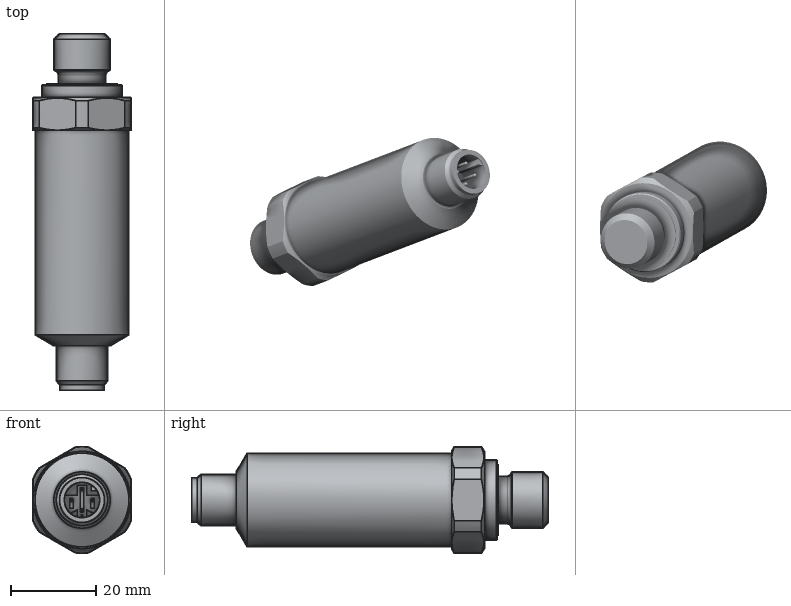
import cadquery as cq
import math


length = 83.5
plug_rim = -length / 2
port_end = length / 2
plug_chamfer_start = -40.4
plug_chamfer_end = -39.5
cone_front = -31.3
cone_back = -28.7
hex_front = 19.1
hex_back = 26.8
collar_chamfer_start = 29.6
collar_back = 29.8
seal_face = 30.1
thread_shoulder = 33.1
thread_start = 33.3

rim_dia = 10.5
plug_dia = 12.0
cone_small_dia = 13.2
body_dia = 22.0
collar_dia = 18.8
collar_back_dia = 18.3
seal_dia = 16.5
undercut_dia = 11.2
thread_shoulder_dia = 12.7
thread_dia = 13.2
thread_end_dia = 10.5
thread_chamfer = (thread_dia - thread_end_dia) / 2
undercut_radius = 1.0

hex_flats = 23.0
hex_corner_dia = 25.0
hex_front_dia = 22.8
hex_front_chamfer = 0.6
hex_back_dia = 22.55
hex_back_chamfer = 0.75

socket_dia = 8.3
socket_depth = 8.35
floor = plug_rim + socket_depth
recess_depth = 0.8
key_corner = 2.2
key_setback = 0.3
web_width = 2.25
web_half_width = web_width / 2
web_top = 3.4
upper_recess_bottom = web_half_width
lower_recess_top = -2.3
lower_recess_angle = 27
vent_dia = 0.4
vent_z = -3.7

pin_dia = 0.8
pin_tip_dia = 0.4
pin_tip_setback = 1.8
pin_circle_radius = 2.5
strip_height = 0.4
side_strip_end = -1.9


def revolve_profile(stations):
    """Solid of revolution about Y from (diameter, y) pairs."""
    outline = [(dia / 2, y) for dia, y in stations]
    outline = [(0, stations[0][1])] + outline + [(0, stations[-1][1])]
    return cq.Workplane("XY").polyline(outline).close().revolve(360, (0, 0, 0), (0, 1, 0))


def plane_at(y):
    """Workplane facing -Y, with local x along X and local y along Z."""
    return cq.Workplane("XZ", origin=(0, y, 0))


def make_undercut_root():
    """Concave ring from the thread shoulder down to the undercut cylinder, tangent to the cylinder."""
    r_in = undercut_dia / 2
    r_out = thread_shoulder_dia / 2
    arc_center = r_in + undercut_radius
    sweep = math.acos((arc_center - r_out) / undercut_radius)
    tangent_y = thread_shoulder - undercut_radius * math.sin(sweep)
    mid_r = arc_center - undercut_radius * math.cos(sweep / 2)
    mid_y = tangent_y + undercut_radius * math.sin(sweep / 2)
    return (
        cq.Workplane("XY")
        .moveTo(r_in, tangent_y)
        .threePointArc((mid_r, mid_y), (r_out, thread_shoulder))
        .lineTo(0, thread_shoulder)
        .lineTo(0, tangent_y)
        .close()
        .revolve(360, (0, 0, 0), (0, 1, 0))
    )


def make_body():
    turned = revolve_profile([
        (rim_dia, plug_rim),
        (rim_dia, plug_chamfer_start),
        (plug_dia, plug_chamfer_end),
        (plug_dia, cone_front),
        (cone_small_dia, cone_front),
        (body_dia, cone_back),
        (body_dia, hex_front),
        (collar_dia, hex_front),
        (collar_dia, collar_chamfer_start),
        (collar_back_dia, collar_back),
        (seal_dia, collar_back),
        (seal_dia, seal_face),
        (undercut_dia, seal_face),
        (undercut_dia, thread_shoulder),
        (thread_shoulder_dia, thread_shoulder),
        (thread_dia, thread_start),
        (thread_dia, port_end - thread_chamfer),
        (thread_end_dia, port_end),
    ])
    return turned.union(make_undercut_root())


def make_hexagon():
    across_corners = hex_flats / math.cos(math.radians(30))
    prism = (
        plane_at(hex_front)
        .transformed(rotate=(0, 0, 30))
        .polygon(6, across_corners)
        .extrude(hex_front - hex_back)
    )
    turned = revolve_profile([
        (hex_front_dia, hex_front),
        (hex_corner_dia, hex_front + hex_front_chamfer),
        (hex_corner_dia, hex_back - hex_back_chamfer),
        (hex_back_dia, hex_back),
    ])
    return prism.intersect(turned)


def socket_disc(y_front, y_back):
    """Disc filling the socket bore between two stations."""
    return plane_at(y_front).circle(socket_dia / 2).extrude(y_front - y_back)


def make_floor_recesses():
    """Lower areas of the insert: one above the web, two wedges below it and a small vent."""
    reach = socket_dia
    depth = -recess_depth
    upper = plane_at(floor).polyline([
        (-reach, upper_recess_bottom),
        (-web_half_width, upper_recess_bottom),
        (-web_half_width, web_top),
        (web_half_width, web_top),
        (web_half_width, upper_recess_bottom),
        (reach, upper_recess_bottom),
        (reach, reach),
        (-reach, reach),
    ]).close().extrude(depth)
    drop = (reach - web_half_width) * math.tan(math.radians(lower_recess_angle))
    recesses = upper
    for side in (-1, 1):
        wedge = plane_at(floor).polyline([
            (side * web_half_width, lower_recess_top),
            (side * reach, lower_recess_top - drop),
            (side * reach, -reach),
            (side * web_half_width, -reach),
        ]).close().extrude(depth)
        recesses = recesses.union(wedge)
    recesses = recesses.intersect(socket_disc(floor, floor + recess_depth))
    vent = plane_at(floor).center(0, vent_z).circle(vent_dia / 2).extrude(depth)
    return recesses.union(vent)


def make_key():
    """Coding key along the socket wall, in the +X +Z quarter."""
    key_front = plug_rim + key_setback
    key_back = floor + recess_depth
    block = (
        plane_at(key_front)
        .moveTo(key_corner, key_corner)
        .rect(socket_dia, socket_dia, centered=False)
        .extrude(key_front - key_back)
    )
    mid_wall_radius = (rim_dia + socket_dia) / 4
    bore_limit = plane_at(key_front).circle(mid_wall_radius).extrude(key_front - key_back)
    return block.intersect(bore_limit)


def make_pin(x, z):
    tip = plug_rim + pin_tip_setback
    tip_chamfer = (pin_dia - pin_tip_dia) / 2
    pin = revolve_profile([
        (pin_tip_dia, tip),
        (pin_dia, tip + tip_chamfer),
        (pin_dia, floor + recess_depth),
    ])
    return pin.translate((x, 0, z))


def make_strip(x, z_low, z_high):
    """Flat contact strip standing up from the socket floor."""
    return (
        plane_at(floor)
        .center(x, (z_low + z_high) / 2)
        .rect(pin_dia, z_high - z_low)
        .extrude(strip_height)
    )


def make_contacts():
    """Four pins, a strip joining the upper and lower pins, and a strip below each side pin."""
    r = pin_circle_radius
    contacts = make_strip(0, -r, r)
    for side in (-r, r):
        contacts = contacts.union(make_strip(side, side_strip_end, 0))
    for x, z in ((r, 0), (0, r), (-r, 0), (0, -r)):
        contacts = contacts.union(make_pin(x, z))
    return contacts


result = make_body().union(make_hexagon())
result = result.cut(socket_disc(plug_rim, floor)).cut(make_floor_recesses())
result = result.union(make_key()).union(make_contacts())